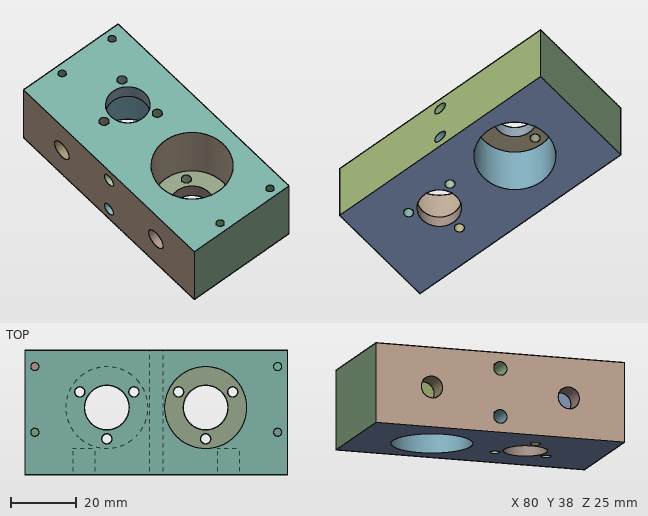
import cadquery as cq

LENGTH = 80.0
DEPTH = 38.0
HEIGHT = 25.0

BORE_Y = 20.5
BORE_XS = (25.0, 55.0)
POCKET_DIAMETER = 25.0
NECK_DIAMETER = 13.5
FLANGE_THICKNESS = 5.0
POCKET_DEPTH = HEIGHT - FLANGE_THICKNESS

SCREW_COUNT = 3
SCREW_CIRCLE_RADIUS = 9.5
SCREW_DIAMETER = 3.0
FIRST_SCREW_ANGLE = -90

END_HOLE_INSET = 3.0
END_HOLE_YS = (13.0, 33.0)
END_HOLE_DIAMETER = 2.5
END_HOLE_DEPTH = 8.0

CROSS_HOLE_INSET = 5.0
CROSS_HOLE_DIAMETER = 4.2

PORT_INSET = 18.0
PORT_DIAMETER = 6.8
PORT_DEPTH = 8.0


def holes_from_top(points, diameter, depth):
    """Cylinders that sink from the top face, centred on (x, y) points."""
    plane = cq.Workplane("XY", origin=(0, 0, HEIGHT))
    return plane.pushPoints(points).circle(diameter / 2).extrude(-depth)


def holes_from_front(points, diameter, depth):
    """Cylinders that run back from the front face, centred on (x, z) points."""
    return cq.Workplane("XZ").pushPoints(points).circle(diameter / 2).extrude(-depth)


def stepped_bore(x, pocket_floor):
    """Neck and screw holes through the block, with a wide pocket starting at pocket_floor."""
    pocket = (
        cq.Workplane("XY", origin=(x, BORE_Y, pocket_floor))
        .circle(POCKET_DIAMETER / 2)
        .extrude(POCKET_DEPTH)
    )
    screws = (
        cq.Workplane("XY", origin=(x, BORE_Y, 0))
        .polarArray(SCREW_CIRCLE_RADIUS, FIRST_SCREW_ANGLE, 360, SCREW_COUNT)
        .circle(SCREW_DIAMETER / 2)
        .extrude(HEIGHT)
    )
    neck = holes_from_top([(x, BORE_Y)], NECK_DIAMETER, HEIGHT)
    return pocket.union(neck).union(screws)


block = cq.Workplane("XY").box(LENGTH, DEPTH, HEIGHT, centered=False)

left_x, right_x = BORE_XS
block = block.cut(stepped_bore(left_x, 0))
block = block.cut(stepped_bore(right_x, FLANGE_THICKNESS))

end_points = [(x, y) for x in (END_HOLE_INSET, LENGTH - END_HOLE_INSET) for y in END_HOLE_YS]
block = block.cut(holes_from_top(end_points, END_HOLE_DIAMETER, END_HOLE_DEPTH))

cross_points = [(LENGTH / 2, z) for z in (CROSS_HOLE_INSET, HEIGHT - CROSS_HOLE_INSET)]
block = block.cut(holes_from_front(cross_points, CROSS_HOLE_DIAMETER, DEPTH))

port_points = [(x, HEIGHT / 2) for x in (PORT_INSET, LENGTH - PORT_INSET)]
block = block.cut(holes_from_front(port_points, PORT_DIAMETER, PORT_DEPTH))

result = block